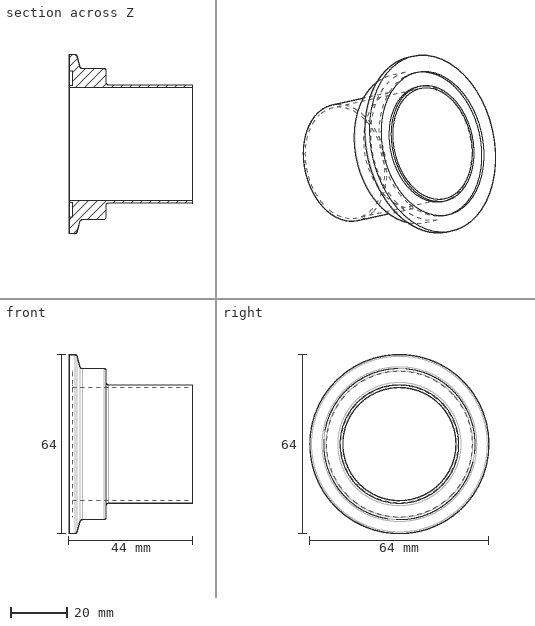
import cadquery as cq
import math

total_length = 44.0
flange_radius = 32.0
rim_width = 2.7
cone_angle = 15.0
collar_radius = 27.0
collar_end = 13.2
tube_radius = 21.2
bore_radius = 20.15
groove_outer_radius = 26.05
groove_inner_radius = 21.0
groove_depth = 1.1
edge_radius = 0.8
position_tolerance = 0.005

cone_end = rim_width + (flange_radius - collar_radius) * math.tan(math.radians(cone_angle))


def turned_body():
    """Flange, collar and tube around a straight bore, with sharp corners."""
    return (
        cq.Workplane("XY")
        .moveTo(0, bore_radius)
        .lineTo(0, flange_radius)
        .lineTo(rim_width, flange_radius)
        .lineTo(cone_end, collar_radius)
        .lineTo(collar_end, collar_radius)
        .lineTo(collar_end, tube_radius)
        .lineTo(total_length, tube_radius)
        .lineTo(total_length, bore_radius)
        .close()
        .revolve(360, (0, 0, 0), (1, 0, 0))
    )


def is_rounded(edge):
    """True for the circles at both ends of the cone and at the collar's end face."""
    if edge.geomType() != "CIRCLE":
        return False
    position = edge.arcCenter().x
    return any(abs(position - x) < position_tolerance for x in (rim_width, cone_end, collar_end))


def face_groove():
    """Shallow flat ring cut into the flange face, leaving a thin lip around the bore."""
    return (
        cq.Workplane("YZ")
        .circle(groove_outer_radius)
        .circle(groove_inner_radius)
        .extrude(groove_depth)
    )


body = turned_body().edges().filter(is_rounded).fillet(edge_radius)
result = body.cut(face_groove())